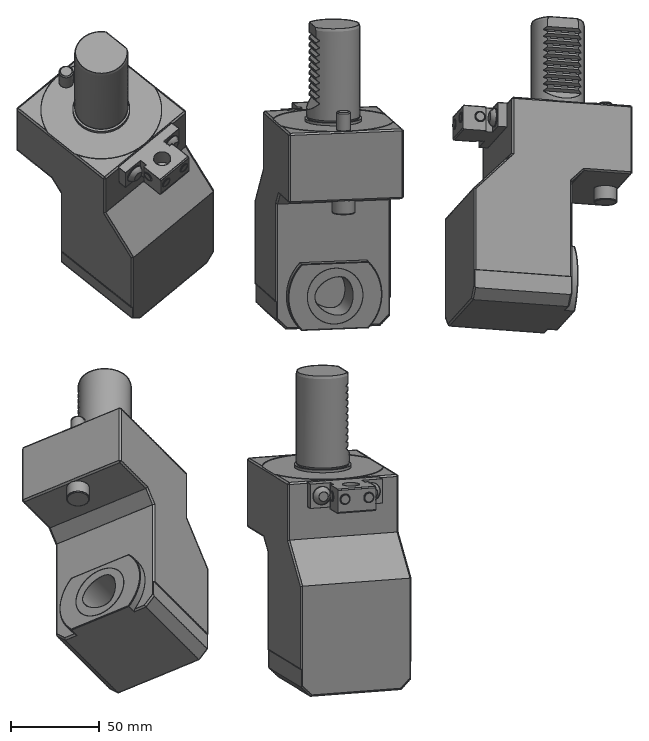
import cadquery as cq
import math


half_width = 33.0
upper_half_length = 35.0
upper_height = 40.0
column_left = 0.0
column_right = 57.0
body_bottom = -119.0
left_slope_run = 7.0
right_slope_top = -33.0
edge_chamfer = 1.0
seat_diameter = 68.0
seat_height = 0.3
foot_chamfer = 6.0
side_relief_height = 16.0
side_relief_depth = 0.5

shank_diameter = 30.0
shank_length = 55.0
shank_root = 2.0
shank_tip_bevel = 1.7
shank_base_bevel = 1.0
shank_bevel_width = 0.5
collar_diameter = 32.0
collar_height = 1.2
flat_offset = 12.0
tooth_count = 10
tooth_pitch = 4.0
tooth_depth = 1.8
tooth_half_width = 1.4
first_tooth_height = 11.7

pin_x = -27.7
pin_diameter = 8.0
pin_height = 10.0
pin_chamfer = 0.7
plug_diameter = 13.0
plug_length = 8.0
plug_root = 2.0
plug_chamfer = 0.5

flange_diameter = 54.0
flange_height = 38.0
flange_thickness = 5.0
flange_chamfer = 0.4
flange_root = 1.0
flange_z = body_bottom + flange_height / 2
face_recess_diameter = 32.0
face_recess_depth = 0.1
socket_diameter = 22.0
socket_lobe = 1.3
socket_depth = 20.0
socket_taper = 1 / 20
socket_points = 36

bracket_height = 14.0
bracket_root = 1.0
bracket_top = -0.5
bracket_z = bracket_top - bracket_height / 2
plate_width = 43.0
plate_thickness = 5.2
plate_outer = upper_half_length + plate_thickness
neck_width = 18.8
neck_length = 4.4
block_width = 22.6
block_end = 58.0
block_chamfer = 0.7
coolant_hole_diameter = 9.5
coolant_hole_depth = 10.0
coolant_hole_x = 48.0
stud_diameter = 6.0
stud_height = 0.5
stud_chamfer = 0.45
stud_root = 1.0
stud_rise = 1.0
stud_z = bracket_z + stud_rise
end_stud_offset = 7.1
screw_diameter = 10.5
screw_head_height = 3.3
screw_rim = 0.6
screw_top_diameter = 5.5
screw_dome_bulge = 0.1
screw_offset = 14.75


def make_body():
    slope_run = column_right - upper_half_length
    body = (
        cq.Workplane("XZ")
        .moveTo(-upper_half_length, 0)
        .lineTo(upper_half_length, 0)
        .lineTo(upper_half_length, right_slope_top)
        .lineTo(column_right, right_slope_top - slope_run)
        .lineTo(column_right, body_bottom)
        .lineTo(column_left, body_bottom)
        .lineTo(column_left, -upper_height - left_slope_run)
        .lineTo(column_left - left_slope_run, -upper_height)
        .lineTo(-upper_half_length, -upper_height)
        .close()
        .extrude(half_width, both=True)
    )
    body = body.faces("<Z").edges("|X").chamfer(foot_chamfer)
    slope_corners = cq.selectors.BoxSelector(
        (-left_slope_run - 1, -1, right_slope_top - slope_run - 1),
        (column_right + 1, 1, right_slope_top + 1),
    )
    foot_z = body_bottom + foot_chamfer
    foot_edges = cq.selectors.BoxSelector(
        (column_left, -half_width - 1, foot_z - 1), (column_right, half_width + 1, foot_z + 1)
    )
    sharp = cq.selectors.SumSelector(slope_corners, foot_edges)
    return body.faces("|X or |Y").edges(cq.selectors.InverseSelector(sharp)).chamfer(edge_chamfer)


def cut_seat_corners(body):
    corners = (
        cq.Workplane("XY")
        .rect(2 * upper_half_length, 2 * half_width)
        .circle(seat_diameter / 2)
        .extrude(-seat_height)
    )
    return body.cut(corners)


def cut_side_reliefs(body):
    length = column_right - column_left
    for side in (-1, 1):
        relief = cq.Workplane("XY").box(length, 2 * side_relief_depth, side_relief_height)
        middle_x = (column_left + column_right) / 2
        middle_z = body_bottom + side_relief_height / 2
        body = body.cut(relief.translate((middle_x, side * half_width, middle_z)))
    return body


def make_shank():
    """Round shank on its collar; the lower end of the shank tapers in above the collar."""
    radius = shank_diameter / 2
    shank = (
        cq.Workplane("XZ")
        .moveTo(0, -shank_root)
        .lineTo(collar_diameter / 2, -shank_root)
        .lineTo(collar_diameter / 2, collar_height)
        .lineTo(radius - shank_bevel_width, collar_height)
        .lineTo(radius, collar_height + shank_base_bevel)
        .lineTo(radius, shank_length - shank_tip_bevel)
        .lineTo(radius - shank_bevel_width, shank_length)
        .lineTo(0, shank_length)
        .close()
        .revolve(360, (0, 0), (0, 1))
    )
    return shank.cut(make_tooth_cutter())


def make_tooth_cutter():
    """Flat on the +Y side with V grooves; it runs out at 45 degrees from the lowest groove."""
    root = flat_offset - tooth_depth
    outside = shank_diameter
    profile = cq.Workplane("YZ").moveTo(outside, shank_length).lineTo(flat_offset, shank_length)
    for index in reversed(range(tooth_count)):
        groove_z = first_tooth_height + index * tooth_pitch
        profile = profile.lineTo(flat_offset, groove_z + tooth_half_width).lineTo(root, groove_z)
        if index > 0:
            profile = profile.lineTo(flat_offset, groove_z - tooth_half_width)
    profile = profile.lineTo(outside, first_tooth_height - (outside - root)).close()
    return profile.extrude(shank_diameter, both=True)


def make_pin():
    return (
        cq.Workplane("XY", origin=(pin_x, 0, -shank_root))
        .circle(pin_diameter / 2)
        .extrude(shank_root + pin_height)
        .faces(">Z")
        .chamfer(pin_chamfer)
    )


def make_plug():
    return (
        cq.Workplane("XY", origin=(pin_x, 0, -upper_height + plug_root))
        .circle(plug_diameter / 2)
        .extrude(-plug_root - plug_length)
        .faces("<Z")
        .chamfer(plug_chamfer)
    )


def make_flange():
    origin = (column_left - flange_thickness, 0, flange_z)
    thickness = flange_thickness + flange_root
    disc = cq.Workplane("YZ", origin=origin).circle(flange_diameter / 2).extrude(thickness)
    flats = cq.Workplane("YZ", origin=origin).rect(flange_diameter, flange_height).extrude(thickness)
    return disc.intersect(flats).faces("<X").chamfer(flange_chamfer)


def socket_outline(diameter):
    """Points on the three-lobed outline, with one lobe pointing to +Y."""
    points = []
    for index in range(socket_points):
        angle = 2 * math.pi * index / socket_points
        radius = diameter / 2
        y = radius * math.cos(angle) + socket_lobe * (math.cos(2 * angle) - math.cos(4 * angle) / 2)
        z = radius * math.sin(angle) - socket_lobe * (math.sin(2 * angle) + math.sin(4 * angle) / 2)
        points.append((y, z))
    return points


def cut_socket(part):
    origin = (column_left - flange_thickness, 0, flange_z)
    recess = (
        cq.Workplane("YZ", origin=origin)
        .circle(face_recess_diameter / 2)
        .extrude(face_recess_depth)
    )
    socket = (
        cq.Workplane("YZ", origin=origin)
        .spline(socket_outline(socket_diameter), periodic=True)
        .close()
        .workplane(offset=socket_depth)
        .spline(socket_outline(socket_diameter - socket_depth * socket_taper), periodic=True)
        .close()
        .loft()
    )
    return part.cut(recess).cut(socket)


def make_bracket():
    neck_end = plate_outer + neck_length

    def slab(x_start, x_end, width):
        middle = ((x_start + x_end) / 2, 0, bracket_z)
        return cq.Workplane("XY", origin=middle).box(x_end - x_start, width, bracket_height)

    block = slab(neck_end, block_end, block_width)
    block = block.faces(">X").edges("|Y").chamfer(block_chamfer)
    bracket = slab(upper_half_length - bracket_root, plate_outer, plate_width)
    bracket = bracket.union(slab(plate_outer, neck_end, neck_width)).union(block)
    hole = (
        cq.Workplane("XY", origin=(coolant_hole_x, 0, bracket_top))
        .circle(coolant_hole_diameter / 2)
        .extrude(-coolant_hole_depth)
    )
    bracket = bracket.cut(hole)
    for side in (-1, 1):
        side_stud = make_stud((coolant_hole_x, side * block_width / 2, stud_z), (0, side, 0))
        end_stud = make_stud((block_end, side * end_stud_offset, stud_z), (1, 0, 0))
        screw_head = make_screw_head(side * screw_offset)
        bracket = bracket.union(side_stud).union(end_stud).union(screw_head)
    return bracket


def make_stud(base, direction):
    plane = cq.Plane(origin=base, xDir=(0, 0, 1), normal=direction)
    outer_end = cq.selectors.DirectionMinMaxSelector(cq.Vector(*direction))
    return (
        cq.Workplane(plane)
        .workplane(offset=-stud_root)
        .circle(stud_diameter / 2)
        .extrude(stud_root + stud_height)
        .faces(outer_end)
        .chamfer(stud_chamfer)
    )


def make_screw_head(y):
    """Button head: a short rim, then a dome ending in a flat."""
    rim_radius = screw_diameter / 2
    top_radius = screw_top_diameter / 2
    share = 0.5 + screw_dome_bulge
    dome_middle = (
        screw_rim + share * (screw_head_height - screw_rim),
        top_radius + share * (rim_radius - top_radius),
    )
    head = (
        cq.Workplane("XY")
        .lineTo(0, rim_radius)
        .lineTo(screw_rim, rim_radius)
        .threePointArc(dome_middle, (screw_head_height, top_radius))
        .lineTo(screw_head_height, 0)
        .close()
        .revolve(360, (0, 0), (1, 0))
    )
    return head.translate((plate_outer, y, bracket_z))


body = cut_side_reliefs(cut_seat_corners(make_body()))
for piece in (make_shank(), make_pin(), make_plug(), make_flange(), make_bracket()):
    body = body.union(piece)
result = cut_socket(body)